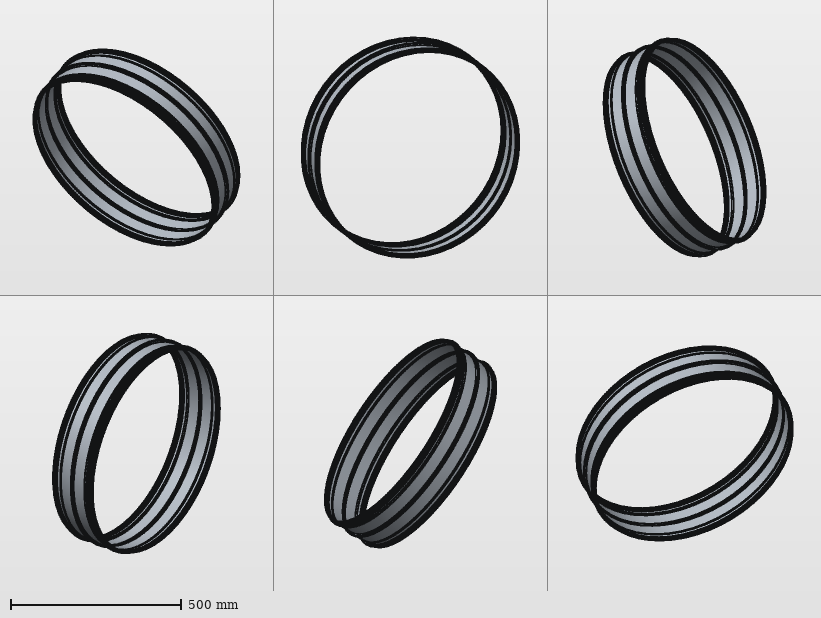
import cadquery as cq
import math

outer_diameter = 639.0
half_width = 146.0 / 2

sheet = 0.75
wall_radius = 629.0 / 2
wall_inner = wall_radius - sheet
seat_inner = 623.0 / 2
seat_radius = seat_inner + sheet
bead_radius = outer_diameter / 2
bead_crest = 3.0
bead_base = 5.0
taper_start = 42.0
taper_end = 47.0
rim_roll = 2.0
fold_length = 7.0

lip_thickness = 2.0
tall_lip_start = 57.5
tall_lip_radius = outer_diameter / 2
short_lip_start = 62.0
short_lip_radius = 634.0 / 2
gasket_end = half_width - rim_roll


def revolve_about_y(outline):
    """Turn a closed outline, drawn with X as radius, around the Y axis."""
    return outline.revolve(360, (0, 0, 0), (0, 1, 0))


def make_sleeve():
    """Thin sleeve with a hollow middle bead, two recessed seats and two folded rims."""
    roll_x = wall_radius - rim_roll
    roll_y = half_width - rim_roll
    roll_inner = rim_roll - sheet
    fold_end = half_width - fold_length
    crest_inner = bead_crest - sheet
    crest_inner_radius = bead_radius - sheet

    def roll_middle(radius):
        offset = radius * math.sqrt(0.5)
        return (roll_x + offset, roll_y + offset)

    half_outline = (
        cq.Workplane("XY")
        .moveTo(bead_radius, bead_crest)
        .lineTo(wall_radius, bead_base)
        .lineTo(wall_radius, taper_start)
        .lineTo(seat_radius, taper_end)
        .lineTo(seat_radius, half_width - sheet)
        .lineTo(roll_x, half_width - sheet)
        .threePointArc(roll_middle(roll_inner), (wall_inner, roll_y))
        .lineTo(wall_inner, fold_end)
        .lineTo(wall_radius, fold_end)
        .lineTo(wall_radius, roll_y)
        .threePointArc(roll_middle(rim_roll), (roll_x, half_width))
        .lineTo(seat_inner, half_width)
        .lineTo(seat_inner, taper_end)
        .lineTo(wall_inner, taper_start)
        .lineTo(wall_inner, bead_base - sheet)
        .lineTo(crest_inner_radius, crest_inner)
        .wire()
        .val()
    )

    outer_crest = cq.Edge.makeLine(
        cq.Vector(bead_radius, -bead_crest), cq.Vector(bead_radius, bead_crest)
    )
    inner_crest = cq.Edge.makeLine(
        cq.Vector(crest_inner_radius, -crest_inner), cq.Vector(crest_inner_radius, crest_inner)
    )
    pieces = [outer_crest, half_outline, inner_crest, half_outline.mirror("XZ")]
    outline = cq.Wire.combine(pieces)[0]
    return revolve_about_y(cq.Workplane("XY").add(outline).toPending())


def make_gasket(side):
    """Gasket with a tall and a short lip; side is +1 or -1 along Y."""
    tall_lip_end = tall_lip_start + lip_thickness
    short_lip_end = short_lip_start + lip_thickness
    foot_radius = wall_inner
    outline = [
        (seat_radius, tall_lip_start),
        (tall_lip_radius, tall_lip_start),
        (tall_lip_radius, tall_lip_end),
        (foot_radius, tall_lip_end),
        (foot_radius, short_lip_start),
        (short_lip_radius, short_lip_start),
        (short_lip_radius, short_lip_end),
        (foot_radius, short_lip_end),
        (foot_radius, gasket_end),
        (seat_radius, gasket_end),
    ]
    placed_outline = [(radius, side * y) for radius, y in outline]
    return revolve_about_y(cq.Workplane("XY").polyline(placed_outline).close())


sleeve = make_sleeve()
gaskets = [make_gasket(side) for side in (-1, 1)]

result = cq.Compound.makeCompound([sleeve.val(), *[gasket.val() for gasket in gaskets]])